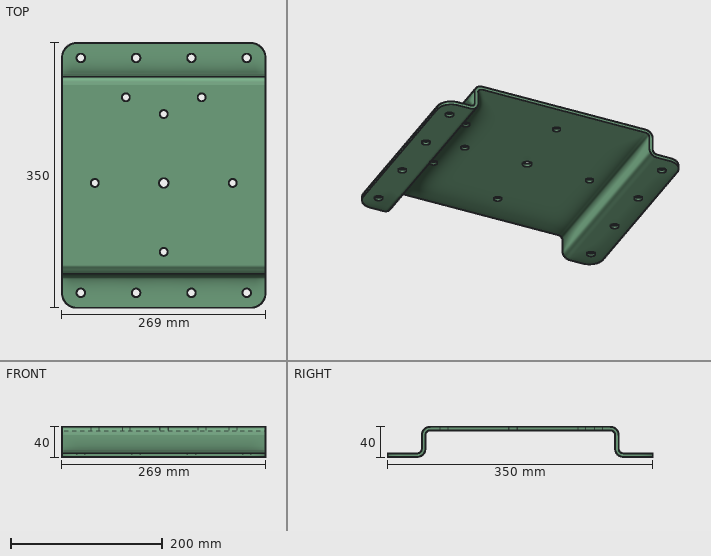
import cadquery as cq

WIDTH = 269.0
LENGTH = 350.0
HEIGHT = 40.0
THICKNESS = 5.0
CORNER_RADIUS = 20.0

FLANGE_LENGTH = 45.0
INNER_BEND_RADIUS = 6.0
OUTER_BEND_RADIUS = INNER_BEND_RADIUS + THICKNESS

FLANGE_HOLE_DIAMETER = 11.0
FLANGE_HOLE_COUNT = 4
FLANGE_HOLE_PITCH = 73.0
FLANGE_HOLE_END_MARGIN = 20.0
FLANGE_ROW_SPACING = LENGTH - 2 * FLANGE_HOLE_END_MARGIN

CENTER_HOLE_DIAMETER = 12.3
PLATFORM_HOLE_DIAMETER = 10.2
PATTERN_CENTER_Y = -10.0
PATTERN_RADIUS = 91.0
PATTERN_HOLE_COUNT = 4
PAIR_SPACING = 100.0
PAIR_Y = 103.0


def bent_sheet():
    """Hat-section sheet: two flanges, two upright walls and a raised platform."""
    end = LENGTH / 2
    wall_outer = end - FLANGE_LENGTH
    wall_inner = wall_outer - THICKNESS
    platform_underside = HEIGHT - THICKNESS

    outline = [
        (-end, 0),
        (-wall_inner, 0),
        (-wall_inner, platform_underside),
        (wall_inner, platform_underside),
        (wall_inner, 0),
        (end, 0),
        (end, THICKNESS),
        (wall_outer, THICKNESS),
        (wall_outer, HEIGHT),
        (-wall_outer, HEIGHT),
        (-wall_outer, THICKNESS),
        (-end, THICKNESS),
    ]
    sheet = cq.Workplane("YZ").polyline(outline).close().extrude(WIDTH / 2, both=True)

    def bend_edges(y, z):
        """The pair of edges along X at +y and -y, at height z."""
        points = [(0, y, z), (0, -y, z)]
        edges = [cq.selectors.NearestToPointSelector(point) for point in points]
        return edges[0] + edges[1]

    for y, z in [(wall_outer, HEIGHT), (wall_inner, 0)]:
        sheet = sheet.edges(bend_edges(y, z)).fillet(OUTER_BEND_RADIUS)
    for y, z in [(wall_inner, platform_underside), (wall_outer, THICKNESS)]:
        sheet = sheet.edges(bend_edges(y, z)).fillet(INNER_BEND_RADIUS)
    return sheet


def round_flange_corners(sheet):
    """Round the four outer corners of the flanges."""
    return sheet.faces("<Y or >Y").edges("|Z").fillet(CORNER_RADIUS)


def through_holes(workplane, diameter):
    """Vertical cylinders at the workplane's points, taller than the part."""
    return workplane.circle(diameter / 2).extrude(HEIGHT, both=True)


def flange_holes():
    """One row of evenly spaced holes along each flange."""
    rows = cq.Workplane("XY").rarray(FLANGE_HOLE_PITCH, FLANGE_ROW_SPACING, FLANGE_HOLE_COUNT, 2)
    return through_holes(rows, FLANGE_HOLE_DIAMETER)


def center_hole():
    """The larger hole in the middle of the ring of holes."""
    middle = cq.Workplane("XY").center(0, PATTERN_CENTER_Y)
    return through_holes(middle, CENTER_HOLE_DIAMETER)


def ring_holes():
    """Holes on a circle around the centre hole."""
    middle = cq.Workplane("XY").center(0, PATTERN_CENTER_Y)
    ring = middle.polarArray(PATTERN_RADIUS, 0, 360, PATTERN_HOLE_COUNT)
    return through_holes(ring, PLATFORM_HOLE_DIAMETER)


def pair_holes():
    """Two holes side by side near the +Y end of the platform."""
    pair = cq.Workplane("XY").pushPoints([(-PAIR_SPACING / 2, PAIR_Y), (PAIR_SPACING / 2, PAIR_Y)])
    return through_holes(pair, PLATFORM_HOLE_DIAMETER)


result = round_flange_corners(bent_sheet())
for holes in [flange_holes(), center_hole(), ring_holes(), pair_holes()]:
    result = result.cut(holes)